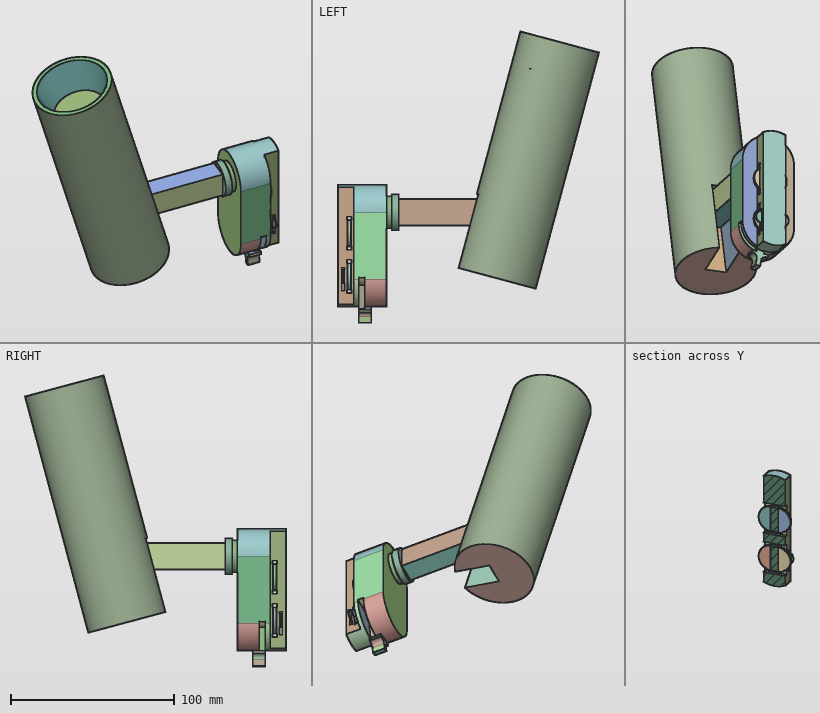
import cadquery as cq
import math


adapter_radius = 17.0
adapter_drop = 41.0
adapter_depth = 29.8
adapter_bottom_z = -adapter_drop - adapter_radius
tongue_depth = 9.8
tongue_width = 14.7

contact_half_span = 10.7
power_contact_y = 22.9
power_contact_thickness = 1.6
power_contact_height = 16.5
power_window_thickness = 2.7
power_window_height = 20.2
power_contact_zs = (-12.9, -39.3)
signal_contact_y = 26.6
signal_contact_thickness = 0.5
signal_contact_height = 8.2
signal_contact_z = power_contact_zs[1]
signal_window_thickness = 1.6
signal_window_height = 14.0
signal_window_z = -41.1
contact_core_width = 5.4

neck_diameter = 19.8
neck_length = 3.0
collar_diameter = 22.2
collar_length = 4.5
arm_width = 12.7
arm_height = 16.3

lamp_diameter = 50.0
lamp_length = 150.0
lamp_tilt = 15.0
lamp_center_y = -86.7
lamp_center_z = 32.0
opening_radius = 22.2
reflector_floor_radius = 16.3
reflector_depth = 20.5
arm_slot_width = 13.8
arm_slot_length = 46.8

lever_tilt = 11.0
lever_pivot_z = -37.5
lever_back_y = 17.2
lever_thickness = 3.8
hub_radius = 7.1
plate_width = 5.0
grip_depth = 7.9
grip_top = 21.6
grip_bottom = 30.5
grip_bar_width = 10.4
grip_bar_height = 1.8
grip_stem_width = 3.0
grip_fillet = 3.0
lever_slot_top_z = -40.0

tilt_slope = math.tan(math.radians(lamp_tilt))
lamp_axis_y = lamp_center_y + lamp_center_z * tilt_slope


def cylinder_along_y(radius, y_start, y_end):
    """Cylinder on the arm axis between two Y positions."""
    return cq.Workplane("XZ", origin=(0, y_end, 0)).circle(radius).extrude(y_end - y_start)


def box_between(width, y_start, y_end, z_bottom, z_top):
    """Box centred on X = 0."""
    box = cq.Workplane("XY").box(width, y_end - y_start, z_top - z_bottom, centered=(True, False, False))
    return box.translate((0, y_start, z_bottom))


def window(y, z, thickness, height):
    """Opening through the tongue along X."""
    return cq.Workplane("XY").box(tongue_width, thickness, height).translate((0, y, z))


def contact(y, z, thickness, height, window_thickness):
    """Round-ended contact plate, thickened in the middle to reach the window walls."""
    plate = (
        cq.Workplane("XZ", origin=(0, y, z))
        .slot2D(2 * contact_half_span, height)
        .extrude(thickness / 2, both=True)
    )
    core = cq.Workplane("XY").box(contact_core_width, window_thickness, height).translate((0, y, z))
    return plate.union(core)


def lever_slot():
    """Slot across the lower end of the adapter, with a round recess for the lever hub."""
    slot = box_between(
        2 * adapter_radius,
        lever_back_y - lever_thickness,
        lever_back_y,
        adapter_bottom_z,
        lever_slot_top_z,
    )
    return slot.union(lever_hub())


def lever_hub():
    """Round disc on which the lever swings."""
    return (
        cq.Workplane("XZ", origin=(0, lever_back_y, lever_pivot_z))
        .circle(hub_radius)
        .extrude(lever_thickness)
    )


def make_adapter():
    """Round-ended block with a narrow tongue at the back that carries the contacts."""
    body = (
        cq.Workplane("XZ", origin=(0, adapter_depth, -adapter_drop / 2))
        .slot2D(adapter_drop + 2 * adapter_radius, 2 * adapter_radius, 90)
        .extrude(adapter_depth)
    )
    shoulder_y = adapter_depth - tongue_depth
    tongue_zone = box_between(2 * adapter_radius, shoulder_y, adapter_depth, adapter_bottom_z, adapter_radius)
    tongue = box_between(tongue_width, shoulder_y, adapter_depth, adapter_bottom_z, adapter_radius)
    body = body.cut(tongue_zone.cut(tongue))

    for z in power_contact_zs:
        body = body.cut(window(power_contact_y, z, power_window_thickness, power_window_height))
        body = body.union(
            contact(power_contact_y, z, power_contact_thickness, power_contact_height, power_window_thickness)
        )
    body = body.cut(window(signal_contact_y, signal_window_z, signal_window_thickness, signal_window_height))
    body = body.union(
        contact(
            signal_contact_y,
            signal_contact_z,
            signal_contact_thickness,
            signal_contact_height,
            signal_window_thickness,
        )
    )
    return body.cut(lever_slot())


def make_arm(lamp):
    """Round neck and collar with a square bar that ends flat on the floor of the lamp slot."""
    collar_y = -neck_length
    bar_y = collar_y - collar_length
    neck = cylinder_along_y(neck_diameter / 2, collar_y, 0)
    collar = cylinder_along_y(collar_diameter / 2, bar_y, collar_y)
    bar_end_y = lamp_axis_y - arm_height / 2 * tilt_slope
    bar = box_between(arm_width, bar_end_y, bar_y, -arm_height / 2, arm_height / 2)
    return neck.union(collar).union(bar).cut(lamp)


def make_lamp():
    """Tilted cylinder with a conical reflector on top and an arm slot from its axis to its back,
    open at the lower end."""
    half_length = lamp_length / 2
    tube = cq.Workplane("XY", origin=(0, 0, -half_length)).circle(lamp_diameter / 2).extrude(lamp_length)
    reflector = (
        cq.Workplane("XY", origin=(0, 0, half_length - reflector_depth))
        .circle(reflector_floor_radius)
        .workplane(offset=reflector_depth)
        .circle(opening_radius)
        .loft()
    )
    arm_slot = box_between(
        arm_slot_width, 0, lamp_diameter / 2, -half_length, arm_slot_length - half_length
    )
    lamp = tube.cut(reflector).cut(arm_slot)
    return lamp.rotate((0, 0, 0), (1, 0, 0), lamp_tilt).translate((0, lamp_center_y, lamp_center_z))


def make_lever():
    """Hub, plate and T-shaped grip, drawn hanging straight down and then swung to the side."""
    bar_bottom = grip_top + grip_bar_height
    plate = (
        cq.Workplane("XZ", origin=(0, lever_back_y, lever_pivot_z - grip_top / 2))
        .rect(plate_width, grip_top)
        .extrude(lever_thickness)
    )
    half_bar = grip_bar_width / 2
    half_stem = grip_stem_width / 2
    grip = (
        cq.Workplane("XZ", origin=(0, lever_back_y, lever_pivot_z))
        .moveTo(-half_bar, -grip_top)
        .lineTo(half_bar, -grip_top)
        .lineTo(half_bar, -bar_bottom)
        .lineTo(half_stem + grip_fillet, -bar_bottom)
        .radiusArc((half_stem, -bar_bottom - grip_fillet), -grip_fillet)
        .lineTo(half_stem, -grip_bottom)
        .lineTo(-half_stem, -grip_bottom)
        .lineTo(-half_stem, -bar_bottom - grip_fillet)
        .radiusArc((-half_stem - grip_fillet, -bar_bottom), -grip_fillet)
        .lineTo(-half_bar, -bar_bottom)
        .close()
        .extrude(grip_depth)
    )
    pivot = (0, 0, lever_pivot_z)
    pivot_end = (0, 1, lever_pivot_z)
    return lever_hub().union(plate).union(grip).rotate(pivot, pivot_end, -lever_tilt)


adapter = make_adapter()
lamp = make_lamp()
arm = make_arm(lamp)
lever = make_lever()

result = cq.Compound.makeCompound([adapter.val(), arm.val(), lamp.val(), lever.val()])